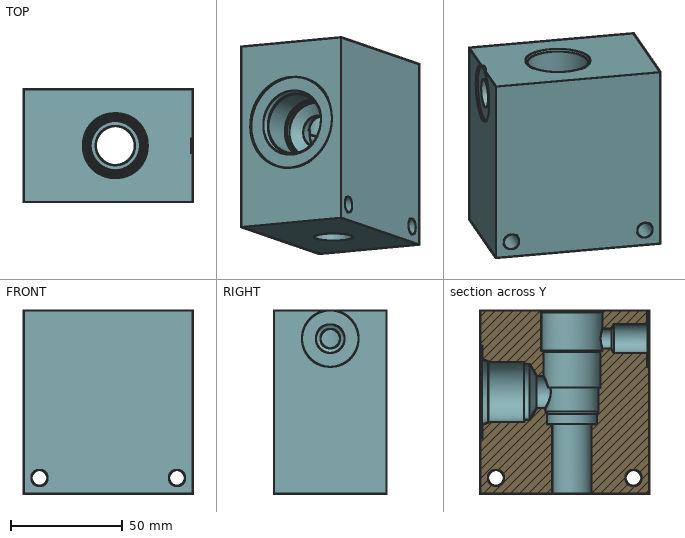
import cadquery as cq
import math

LENGTH = 76.2
WIDTH = 50.8
HEIGHT = 82.55

MOUNT_DIAMETER = 7.1
MOUNT_INSET = 7.2

CAVITY_X = 41.3
MOUTH_DIAMETER = 29.2
UPPER_BORE_DIAMETER = 27.4
UPPER_BORE_DEPTH = 18.2

STEP_DIAMETER = 26.2
STEP_HEIGHT = 0.6
MIDDLE_BORE_DIAMETER = 25.4
MIDDLE_BORE_DEPTH = 34.75

LOWER_BORE_DIAMETER = 23.7
LOWER_BORE_DEPTH = 45.4
LEAD_IN_HEIGHT = 1.3
NOSE_DIAMETER = 22.2
NOSE_DEPTH = 51.2
THROUGH_DIAMETER = 17.5

SPOTFACE_DEPTH = 1.0
DRILL_POINT_ANGLE = 118.0

PORT_Z = 45.8
PORT_SPOTFACE_DIAMETER = 41.4
SEAL_CONE_DEPTH = 2.65
THREAD_BEVEL_DEPTH = 0.25
PORT_CONE_DIAMETER = 27.4
PORT_THREAD_DIAMETER = 27.0
PORT_THREAD_DEPTH = 19.8
PORT_BORE_DIAMETER = 24.9
PORT_BORE_DEPTH = 22.3
PORT_DRILL_DIAMETER = 14.3

GAUGE_SPOTFACE_DIAMETER = 25.4
GAUGE_BORE_DIAMETER = 12.9
GAUGE_BORE_DEPTH = 15.9
GAUGE_DRILL_DIAMETER = 8.75
GAUGE_PORT_Z = HEIGHT - GAUGE_SPOTFACE_DIAMETER / 2


def turned_cutter(profile):
    """Revolve (diameter, depth) stations about the depth axis; depth runs along -Z from the origin."""
    points = [(diameter / 2, -depth) for diameter, depth in profile]
    outline = [(0, points[0][1])] + points + [(0, points[-1][1])]
    return cq.Workplane("XZ").polyline(outline).close().revolve(360, (0, 0, 0), (0, 1, 0))


def valve_cavity():
    mouth_chamfer = (MOUTH_DIAMETER - UPPER_BORE_DIAMETER) / 2
    profile = [
        (MOUTH_DIAMETER, 0),
        (UPPER_BORE_DIAMETER, mouth_chamfer),
        (UPPER_BORE_DIAMETER, UPPER_BORE_DEPTH),
        (STEP_DIAMETER, UPPER_BORE_DEPTH),
        (MIDDLE_BORE_DIAMETER, UPPER_BORE_DEPTH + STEP_HEIGHT),
        (MIDDLE_BORE_DIAMETER, MIDDLE_BORE_DEPTH),
        (LOWER_BORE_DIAMETER, MIDDLE_BORE_DEPTH),
        (LOWER_BORE_DIAMETER, LOWER_BORE_DEPTH),
        (NOSE_DIAMETER, LOWER_BORE_DEPTH + LEAD_IN_HEIGHT),
        (NOSE_DIAMETER, NOSE_DEPTH),
        (THROUGH_DIAMETER, NOSE_DEPTH),
        (THROUGH_DIAMETER, HEIGHT),
    ]
    return turned_cutter(profile).translate((CAVITY_X, 0, HEIGHT))


def drill_point_depth(bore_diameter, drill_diameter):
    """Length of the drill-point cone that joins a bore to the narrower drilled hole beyond it."""
    return (bore_diameter - drill_diameter) / 2 / math.tan(math.radians(DRILL_POINT_ANGLE / 2))


def side_port():
    cone_end = SPOTFACE_DEPTH + SEAL_CONE_DEPTH
    drill_start = PORT_BORE_DEPTH + drill_point_depth(PORT_BORE_DIAMETER, PORT_DRILL_DIAMETER)
    profile = [
        (PORT_SPOTFACE_DIAMETER, 0),
        (PORT_SPOTFACE_DIAMETER, SPOTFACE_DEPTH),
        (MOUTH_DIAMETER, SPOTFACE_DEPTH),
        (PORT_CONE_DIAMETER, cone_end),
        (PORT_THREAD_DIAMETER, cone_end + THREAD_BEVEL_DEPTH),
        (PORT_THREAD_DIAMETER, PORT_THREAD_DEPTH),
        (PORT_BORE_DIAMETER, PORT_THREAD_DEPTH),
        (PORT_BORE_DIAMETER, PORT_BORE_DEPTH),
        (PORT_DRILL_DIAMETER, drill_start),
        (PORT_DRILL_DIAMETER, CAVITY_X),
    ]
    return turned_cutter(profile).rotate((0, 0, 0), (0, 1, 0), -90).translate((0, 0, PORT_Z))


def gauge_port():
    drill_start = GAUGE_BORE_DEPTH + drill_point_depth(GAUGE_BORE_DIAMETER, GAUGE_DRILL_DIAMETER)
    profile = [
        (GAUGE_SPOTFACE_DIAMETER, 0),
        (GAUGE_SPOTFACE_DIAMETER, SPOTFACE_DEPTH),
        (GAUGE_BORE_DIAMETER, SPOTFACE_DEPTH),
        (GAUGE_BORE_DIAMETER, GAUGE_BORE_DEPTH),
        (GAUGE_DRILL_DIAMETER, drill_start),
        (GAUGE_DRILL_DIAMETER, LENGTH - CAVITY_X),
    ]
    return turned_cutter(profile).rotate((0, 0, 0), (0, 1, 0), 90).translate((LENGTH, 0, GAUGE_PORT_Z))


def mounting_hole(x):
    start = cq.Workplane("XZ", origin=(x, WIDTH / 2, MOUNT_INSET))
    return start.circle(MOUNT_DIAMETER / 2).extrude(WIDTH)


block = cq.Workplane("XY").box(LENGTH, WIDTH, HEIGHT, centered=(False, True, False))
result = block.cut(valve_cavity()).cut(side_port()).cut(gauge_port())
for hole_x in (MOUNT_INSET, LENGTH - MOUNT_INSET):
    result = result.cut(mounting_hole(hole_x))